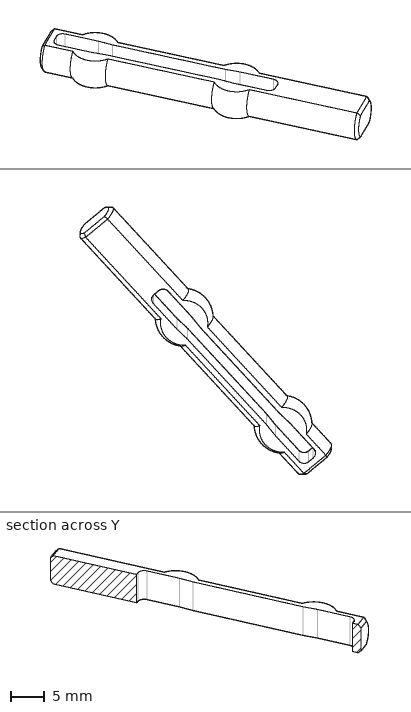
import cadquery as cq

length = 50.0
thickness = 5.0
bar_diameter = 6.6
end_chamfer = 0.5

ball_diameter = 8.6
first_ball_from_end = 7.65
ball_spacing = 22.2

slot_start_from_end = 1.4
slot_length = 34.7
slot_width = 2.9
slot_waist_width = 2.6
slot_corner_radius = 1.0
waist_taper_length = 2.25

left_end = -length / 2
first_ball_x = left_end + first_ball_from_end
second_ball_x = first_ball_x + ball_spacing
slot_start_x = left_end + slot_start_from_end
slot_end_x = slot_start_x + slot_length


def rounded_bar():
    """Round bar with its two flats, chamfered all around both ends."""
    rod = cq.Workplane("YZ").circle(bar_diameter / 2).extrude(length / 2, both=True)
    flats = cq.Workplane("XY").box(length, bar_diameter, thickness)
    return rod.intersect(flats).faces("<X or >X").chamfer(end_chamfer)


def flattened_ball(x):
    """Ball on the bar axis, cut level with the flats of the bar."""
    ball = cq.Workplane("XY").sphere(ball_diameter / 2)
    flats = cq.Workplane("XY").box(ball_diameter, ball_diameter, thickness)
    return ball.intersect(flats).translate((x, 0, 0))


def waisted_slot():
    """Slot with rounded ends, tapering to a slightly narrower waist between the balls."""
    half_width = slot_width / 2
    half_waist = slot_waist_width / 2
    waist_start_x = first_ball_x + waist_taper_length
    waist_end_x = second_ball_x - waist_taper_length
    upper_side = [
        (slot_start_x, half_width),
        (first_ball_x, half_width),
        (waist_start_x, half_waist),
        (waist_end_x, half_waist),
        (second_ball_x, half_width),
        (slot_end_x, half_width),
    ]
    lower_side = [(x, -y) for x, y in reversed(upper_side)]
    slot = cq.Workplane("XY").polyline(upper_side + lower_side).close().extrude(thickness / 2, both=True)
    return slot.edges("|Z and (<X or >X)").fillet(slot_corner_radius)


result = rounded_bar()
for ball_x in (first_ball_x, second_ball_x):
    result = result.union(flattened_ball(ball_x))
result = result.cut(waisted_slot())